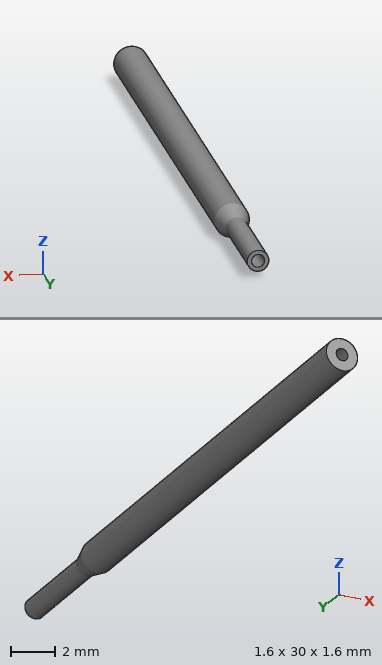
import cadquery as cq
import math

total_length = 30.0
body_diameter = 1.6
tip_diameter = 1.0
bore_diameter = 0.6
tip_length = 5.0
taper_half_angle = 15.0

body_radius = body_diameter / 2
tip_radius = tip_diameter / 2
bore_radius = bore_diameter / 2

taper_length = (body_radius - tip_radius) / math.tan(math.radians(taper_half_angle))
taper_end = total_length - tip_length
taper_start = taper_end - taper_length


def stepped_tube():
    """Half section of the tube wall, from bore to outside, turned about Y."""
    half_section = (
        cq.Workplane("XY")
        .moveTo(bore_radius, 0)
        .lineTo(body_radius, 0)
        .lineTo(body_radius, taper_start)
        .lineTo(tip_radius, taper_end)
        .lineTo(tip_radius, total_length)
        .lineTo(bore_radius, total_length)
        .close()
    )
    return half_section.revolve(360, (0, 0, 0), (0, 1, 0))


result = stepped_tube()